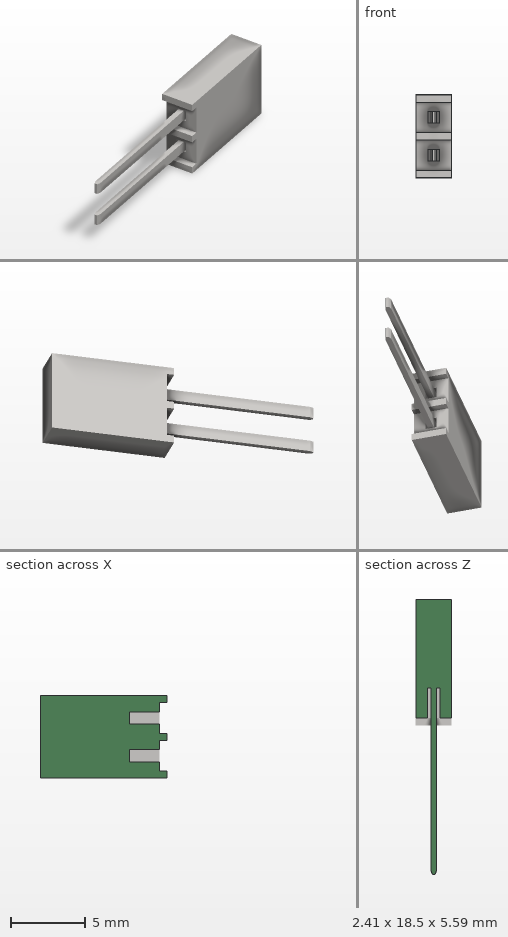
import cadquery as cq

pin_count = 2
pitch = 2.54
body_width = 2.41
body_height = 5.59
body_length = 8.51
rib_depth = 0.508
middle_rib_height = 0.508
window_height = pitch - middle_rib_height

pin_width = 0.4
pin_height = 0.787
pin_reach = 10.01
tip_length = 0.25
tip_width = 0.2

pocket_width = pin_height
pocket_depth = 2.0
root_length = 0.5

front_y = 0.0
floor_y = front_y + rib_depth
pin_tip_y = front_y - pin_reach
pocket_end_y = floor_y + pocket_depth

pin_levels = [(i - (pin_count - 1) / 2) * pitch for i in range(pin_count)]


def block(width, height, y_start, y_end, z):
    """Box centred on x = 0 and height z, spanning y_start to y_end."""
    length = y_end - y_start
    return cq.Workplane("XY").box(width, length, height).translate((0, y_start + length / 2, z))


def make_pin(z):
    """Flat pin tapered in width at its tip, rooted in the end of its pocket."""
    half_width = pin_width / 2
    half_tip = tip_width / 2
    taper_y = pin_tip_y + tip_length
    root_y = pocket_end_y + root_length
    outline = [
        (-half_width, root_y),
        (-half_width, taper_y),
        (-half_tip, pin_tip_y),
        (half_tip, pin_tip_y),
        (half_width, taper_y),
        (half_width, root_y),
    ]
    return (
        cq.Workplane("XY")
        .workplane(offset=z - pin_height / 2)
        .polyline(outline)
        .close()
        .extrude(pin_height)
    )


def make_housing():
    """Block with a full-width window and a pocket at each pin."""
    housing = block(body_width, body_height, front_y, front_y + body_length, 0)
    for z in pin_levels:
        housing = housing.cut(block(body_width, window_height, front_y, floor_y, z))
        housing = housing.cut(block(pocket_width, pin_height, floor_y, pocket_end_y, z))
    return housing


result = make_housing()
for level in pin_levels:
    result = result.union(make_pin(level))